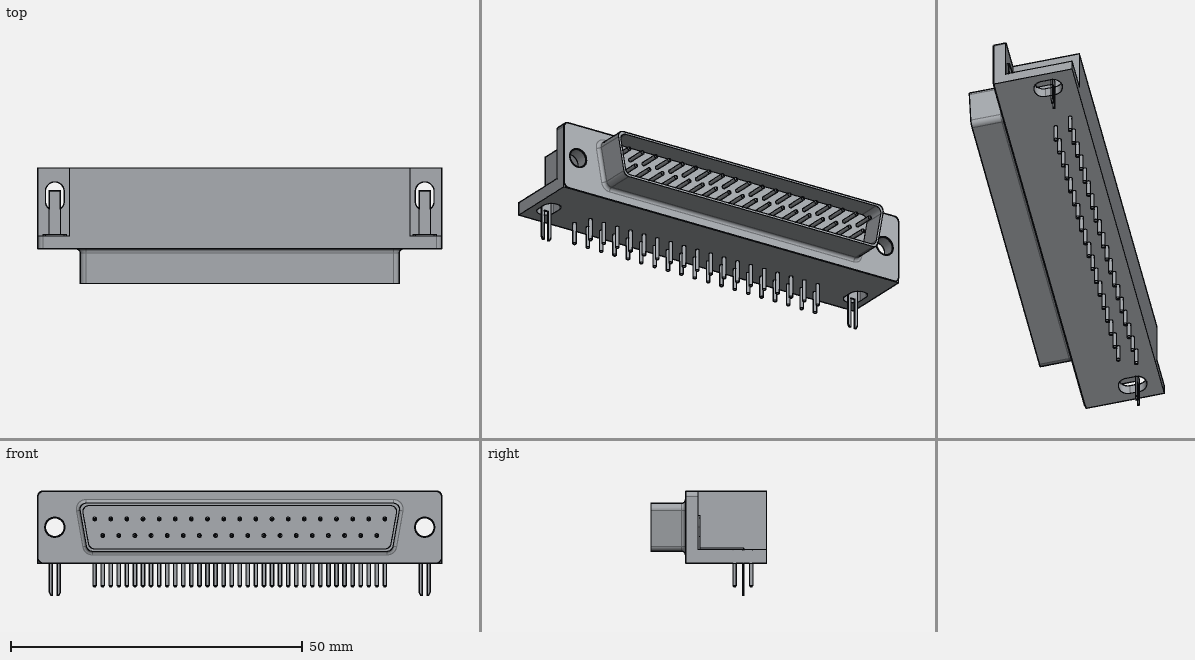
import cadquery as cq
import math


length = 69.4
height = 12.4
depth = 13.95
flange_thickness = 2.2
plate_thickness = 0.15
plate_margin = 0.1
corner_radius = 0.9
ear_width = 5.5
ear_base_thickness = 2.35
mid_height = height / 2

hole_spacing = 63.5
hole_diameter = 3.2
plate_hole_diameter = 3.5
slot_width = 3.2
slot_length = 4.9
slot_back_y = 11.5

shell_projection = 5.9
shell_height = 8.25
shell_top_width = 55.25
shell_wall = 0.4
shell_corner_radius = 1.05
shell_side_angle = 10
shell_root_radius = 0.6
cavity_depth = 4.2

contact_diameter = 0.64
contact_tip_chamfer = 0.2
upper_count = 19
upper_row_span = 49.8
pitch = upper_row_span / (upper_count - 1)
row_gap = 2.85
contact_tip_y = -5.7
front_tail_y = 8.5
tail_length = 4.0

strap_thickness = 0.3
strap_head_diameter = 4.0
strap_width = 1.95
prong_gap = 0.8
prong_length = 5.5
prong_taper_width = 0.3
prong_taper_length = 0.55
strap_bend_radius = 0.15
strap_back_y = 10.05

front_plane = cq.Plane(origin=(0, 0, 0), xDir=(1, 0, 0), normal=(0, -1, 0))


def box(x_size, y_min, y_max, z_min, z_max, x_center=0):
    """Box centred on x_center, between the given Y and Z limits."""
    return (
        cq.Workplane("XY")
        .box(x_size, y_max - y_min, z_max - z_min, centered=(True, False, False))
        .translate((x_center, y_min, z_min))
    )


def make_housing():
    flange = box(length, plate_thickness, flange_thickness, 0, height)
    flange = flange.edges("|Y and >Z").fillet(corner_radius)
    block = box(length - 2 * ear_width, plate_thickness, depth, 0, height)
    ear_base = box(length, plate_thickness, depth, 0, ear_base_thickness)
    plate = box(
        length - 2 * plate_margin, 0, plate_thickness, plate_margin, height - plate_margin
    )
    plate = plate.edges("|Y").fillet(corner_radius)
    return flange.union(block).union(ear_base).union(plate)


def shell_prism(inset, y_front, y_back):
    """D-shaped prism; inset moves every side of the shell outline inward."""
    angle = math.radians(shell_side_angle)
    top = shell_height / 2 - inset
    side_at_middle = (
        shell_top_width / 2 - shell_height / 2 * math.tan(angle) - inset / math.cos(angle)
    )
    lean = top * math.tan(angle)
    return (
        cq.Workplane(front_plane)
        .center(0, mid_height)
        .polyline([
            (-side_at_middle - lean, top),
            (side_at_middle + lean, top),
            (side_at_middle - lean, -top),
            (-side_at_middle + lean, -top),
        ])
        .close()
        .extrude(y_back - y_front)
        .edges("|Y")
        .fillet(shell_corner_radius)
        .translate((0, y_back, 0))
    )


def add_shell(body):
    shell = shell_prism(0, -shell_projection, plate_thickness)
    slab_half_depth = plate_thickness / 2
    root_reach = shell_height / 2 + slab_half_depth
    root = cq.selectors.BoxSelector(
        (-shell_top_width / 2, -slab_half_depth, mid_height - root_reach),
        (shell_top_width / 2, slab_half_depth, mid_height + root_reach),
    )
    body = body.union(shell).edges(root).fillet(shell_root_radius)
    return body.cut(shell_prism(shell_wall, -shell_projection, cavity_depth - shell_projection))


def add_contact_row(body, count, z, tail_y):
    """Row of contacts: a pin inside the shell and a solder tail under the block."""
    pin_length = tail_y - contact_tip_y
    positions = [((i - (count - 1) / 2) * pitch, 0) for i in range(count)]
    pins = (
        cq.Workplane(front_plane)
        .workplane(offset=-tail_y)
        .center(0, z)
        .pushPoints(positions)
        .circle(contact_diameter / 2)
        .extrude(pin_length)
        .faces("<Y")
        .chamfer(contact_tip_chamfer)
    )
    tails = (
        cq.Workplane("XY")
        .workplane(offset=-tail_length)
        .center(0, tail_y)
        .pushPoints(positions)
        .circle(contact_diameter / 2)
        .extrude(tail_length + z)
        .faces("<Z")
        .chamfer(contact_tip_chamfer)
    )
    return body.union(pins).union(tails)


def cut_slot(body, x):
    slot = (
        cq.Workplane("XY")
        .center(x, slot_back_y - slot_length / 2)
        .slot2D(slot_length, slot_width, 90)
        .extrude(ear_base_thickness)
    )
    return body.cut(slot)


def add_board_lock(body, x):
    """Bent strap: round head behind the flange, arm along the ear base, two prongs down."""
    arm_top = ear_base_thickness + strap_thickness
    head_back_y = flange_thickness + strap_thickness
    head = box(strap_head_diameter, flange_thickness, head_back_y, ear_base_thickness, mid_height, x)
    head_round = (
        cq.Workplane(front_plane)
        .workplane(offset=-head_back_y)
        .center(x, mid_height)
        .circle(strap_head_diameter / 2)
        .extrude(strap_thickness)
    )
    arm = box(strap_width, flange_thickness, strap_back_y, ear_base_thickness, arm_top, x)
    prong_front_y = strap_back_y - strap_thickness
    leg = box(strap_width, prong_front_y, strap_back_y, 0, arm_top, x)
    bent_arm = arm.union(leg).edges("|X and >Y and >Z").fillet(strap_bend_radius)
    body = body.union(head).union(head_round).union(bent_arm)
    inner = prong_gap / 2
    outer = strap_width / 2
    for side in (-1, 1):
        prong = (
            cq.Workplane(front_plane)
            .workplane(offset=-strap_back_y)
            .center(x, 0)
            .polyline([
                (side * inner, 0),
                (side * outer, 0),
                (side * outer, prong_taper_length - prong_length),
                (side * (outer - prong_taper_width), -prong_length),
                (side * inner, -prong_length),
            ])
            .close()
            .extrude(strap_thickness)
        )
        body = body.union(prong)
    return body


def cut_mounting_hole(body, x):
    """Hole through flange and strap head, slightly wider in the front plate."""
    hole_start = cq.Workplane(front_plane).center(x, mid_height)
    hole = hole_start.circle(hole_diameter / 2).extrude(-flange_thickness - strap_thickness)
    plate_hole = hole_start.circle(plate_hole_diameter / 2).extrude(-plate_thickness)
    return body.cut(hole).cut(plate_hole)


result = add_shell(make_housing())
result = add_contact_row(result, upper_count, mid_height + row_gap / 2, front_tail_y + row_gap)
result = add_contact_row(result, upper_count - 1, mid_height - row_gap / 2, front_tail_y)
for hole_x in (-hole_spacing / 2, hole_spacing / 2):
    result = cut_slot(result, hole_x)
    result = add_board_lock(result, hole_x)
    result = cut_mounting_hole(result, hole_x)